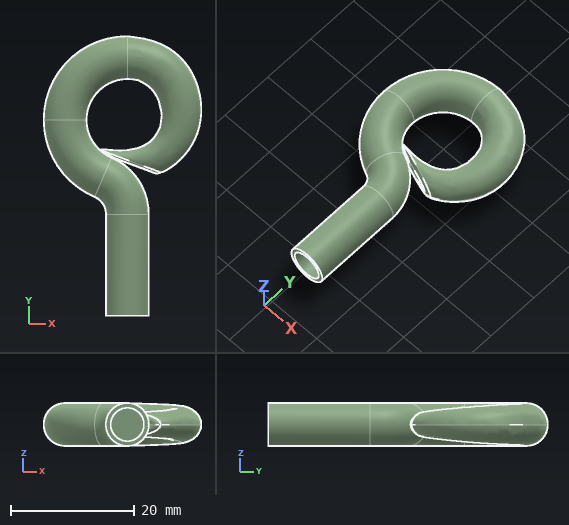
import cadquery as cq
import math

WIRE_DIAMETER = 6.99
EYE_RADIUS = 10.1
NECK_RADIUS = 6.55
SHANK_LENGTH = 16.5
BORE_DIAMETER = 5.4
BORE_DEPTH = SHANK_LENGTH
TIP_GAP = 0.25

WIRE_RADIUS = WIRE_DIAMETER / 2
HOOK_SECTIONS = [
    ((0, EYE_RADIUS - WIRE_RADIUS), (0, EYE_RADIUS + WIRE_RADIUS), WIRE_RADIUS),
    ((2.05, 6.24), (4.9, 12.55), 3.38),
    ((3.9, 5.0), (9.3, 9.4), 3.25),
    ((5.5, 0.9), (12.02, 1.5), 2.9),
    ((4.6, -2.5), (10.8, -3.5), 2.5),
    ((2.0, -4.45), (8.45, -6.6), 2.2),
    ((-5.2, -4.6), (5.4, -8.5), 1.9),
]

TIP_SECTIONS = [
    ((-4.9, -4.95), (5.0, -8.7), 1.6),
    ((-4.2, -5.5), (3.6, -8.2), 0.9),
]

NECK_DROP = math.sqrt((EYE_RADIUS + NECK_RADIUS) ** 2 - NECK_RADIUS ** 2)
SHANK_TOP = -NECK_DROP
SHANK_END = SHANK_TOP - SHANK_LENGTH
NECK_ANGLE = math.atan2(NECK_DROP, NECK_RADIUS)
EYE_END_ANGLE = math.pi + NECK_ANGLE


def eye_point(angle):
    return (EYE_RADIUS * math.cos(angle), EYE_RADIUS * math.sin(angle))


def neck_point(angle):
    return (NECK_RADIUS * (math.cos(angle) - 1), SHANK_TOP + NECK_RADIUS * math.sin(angle))


def make_wire(radius):
    """Round wire along the shank, the neck bend and the left half of the eye."""
    path = (
        cq.Workplane("XY")
        .moveTo(0, SHANK_END)
        .lineTo(0, SHANK_TOP)
        .threePointArc(neck_point(NECK_ANGLE / 2), neck_point(NECK_ANGLE))
        .threePointArc(eye_point((EYE_END_ANGLE + math.pi) / 2), eye_point(math.pi))
        .threePointArc(eye_point(0.75 * math.pi), eye_point(math.pi / 2))
    )
    profile = cq.Workplane("XZ", origin=(0, SHANK_END, 0)).circle(radius)
    return profile.sweep(path)


def section_wire(inner, outer, half_height):
    """Ellipse standing on the XY plane, spanning from the inner to the outer point."""
    across = cq.Vector(outer[0] - inner[0], outer[1] - inner[1], 0)
    center = cq.Vector((inner[0] + outer[0]) / 2, (inner[1] + outer[1]) / 2, 0)
    normal = cq.Vector(0, 0, 1).cross(across)
    return cq.Wire.makeEllipse(
        across.Length / 2, half_height, center, normal, across, rotation_angle=0
    )


def loft_sections(sections):
    return cq.Workplane(cq.Solid.makeLoft([section_wire(*section) for section in sections]))


def make_hook():
    """Right half of the eye with its rounded tip, trimmed clear of the neighbouring wire."""
    body = loft_sections(HOOK_SECTIONS)
    tip = loft_sections(HOOK_SECTIONS[-1:] + TIP_SECTIONS)
    return body.union(tip).cut(make_wire(WIRE_RADIUS + TIP_GAP))


def make_bore():
    return cq.Workplane("XZ", origin=(0, SHANK_END, 0)).circle(BORE_DIAMETER / 2).extrude(-BORE_DEPTH)


result = make_wire(WIRE_RADIUS).union(make_hook()).cut(make_bore())